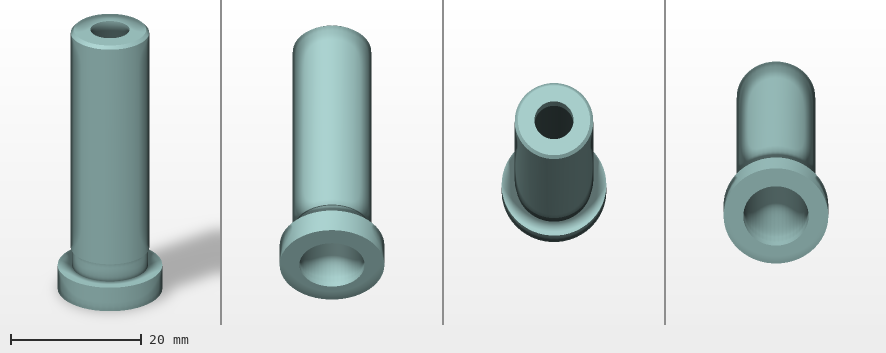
import cadquery as cq

total_length = 44.0
head_diameter = 16.0
head_height = 4.0
neck_diameter = 11.6
neck_height = 3.0
body_diameter = 12.0
top_chamfer = 0.5
bore_diameter = 6.0
relief_diameter = 10.0
bore_length = 2.8

neck_top = head_height + neck_height
relief_depth = total_length - bore_length


def cylinder(diameter, bottom, top):
    """Solid cylinder on the Z axis between two heights."""
    return cq.Workplane("XY").workplane(offset=bottom).circle(diameter / 2).extrude(top - bottom)


head = cylinder(head_diameter, 0, head_height)
neck = cylinder(neck_diameter, head_height, neck_top)
body = cylinder(body_diameter, neck_top, total_length).faces(">Z").edges().chamfer(top_chamfer)

bore = cylinder(bore_diameter, 0, total_length)
relief = cylinder(relief_diameter, 0, relief_depth)

result = head.union(neck).union(body).cut(bore).cut(relief)